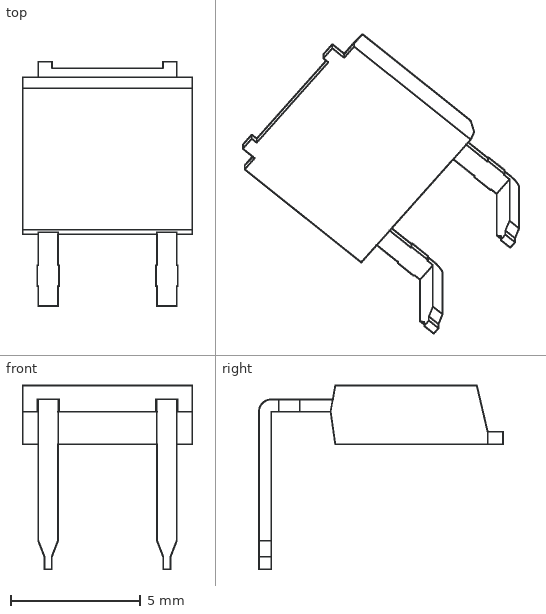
import cadquery as cq

BODY_WIDTH = 6.58
BODY_LENGTH = 6.09
BODY_HEIGHT = 2.29
RIDGE_HEIGHT = 1.26
FRONT_SETBACK = 0.18
REAR_SETBACK = 0.42

TAB_WIDTH = 5.38
TAB_LENGTH = 0.60
TAB_THICKNESS = 0.50
TAB_NOTCH_WIDTH = 4.30
TAB_NOTCH_DEPTH = 0.25

LEAD_PITCH = 4.60
LEAD_WIDTH = 0.78
LEAD_THICKNESS = 0.49
LEAD_REACH = 2.78
LEAD_DROP = 4.84
LEAD_EMBED = 0.30
SHOULDER_WIDTH = 0.85
SHOULDER_LENGTH = 0.82
SHOULDER_FROM_END = 0.77
TIP_WIDTH = 0.29
TIP_LENGTH = 0.49
TAPER_LENGTH = 0.63


def make_body():
    """Extrude the side profile of the body across its width."""
    profile = [
        (FRONT_SETBACK, 0),
        (BODY_LENGTH, 0),
        (BODY_LENGTH, TAB_THICKNESS),
        (BODY_LENGTH - REAR_SETBACK, BODY_HEIGHT),
        (FRONT_SETBACK, BODY_HEIGHT),
        (0, RIDGE_HEIGHT),
    ]
    return cq.Workplane("YZ").polyline(profile).close().extrude(BODY_WIDTH / 2, both=True)


def make_tab():
    """Flat tab with a wide shallow notch in its rear edge."""
    plate = (
        cq.Workplane("XY")
        .box(TAB_WIDTH, TAB_LENGTH, TAB_THICKNESS, centered=(True, False, False))
        .translate((0, BODY_LENGTH, 0))
    )
    notch = (
        cq.Workplane("XY")
        .box(TAB_NOTCH_WIDTH, TAB_NOTCH_DEPTH, TAB_THICKNESS, centered=(True, False, False))
        .translate((0, BODY_LENGTH + TAB_LENGTH - TAB_NOTCH_DEPTH, 0))
    )
    return plate.cut(notch)


def make_lead(x_center):
    """Horizontal arm with shoulders, a rounded bend and a leg that tapers to a narrow tip."""
    outer_y = -LEAD_REACH
    inner_y = outer_y + LEAD_THICKNESS
    top_z = RIDGE_HEIGHT + LEAD_THICKNESS
    tip_z = -LEAD_DROP

    bent_strip = (
        cq.Workplane("YZ")
        .moveTo(LEAD_EMBED, top_z)
        .lineTo(inner_y, top_z)
        .radiusArc((outer_y, RIDGE_HEIGHT), -LEAD_THICKNESS)
        .lineTo(outer_y, tip_z)
        .lineTo(inner_y, tip_z)
        .lineTo(inner_y, RIDGE_HEIGHT)
        .lineTo(LEAD_EMBED, RIDGE_HEIGHT)
        .close()
        .extrude(LEAD_WIDTH / 2, both=True)
    )

    shoulder = (
        cq.Workplane("XY")
        .box(SHOULDER_WIDTH, SHOULDER_LENGTH, LEAD_THICKNESS, centered=(True, False, False))
        .translate((0, outer_y + SHOULDER_FROM_END, RIDGE_HEIGHT))
    )

    taper_end_z = tip_z + TIP_LENGTH
    taper_start_z = taper_end_z + TAPER_LENGTH
    front_outline = [
        (-LEAD_WIDTH / 2, top_z),
        (-LEAD_WIDTH / 2, taper_start_z),
        (-TIP_WIDTH / 2, taper_end_z),
        (-TIP_WIDTH / 2, tip_z),
        (TIP_WIDTH / 2, tip_z),
        (TIP_WIDTH / 2, taper_end_z),
        (LEAD_WIDTH / 2, taper_start_z),
        (LEAD_WIDTH / 2, top_z),
    ]
    front_envelope = (
        cq.Workplane("XZ", origin=(0, LEAD_EMBED, 0))
        .polyline(front_outline)
        .close()
        .extrude(LEAD_EMBED + LEAD_REACH)
    )
    lead = bent_strip.intersect(front_envelope).union(shoulder)
    return lead.translate((x_center, 0, 0))


result = make_body().union(make_tab())
for side in (-1, 1):
    result = result.union(make_lead(side * LEAD_PITCH / 2))